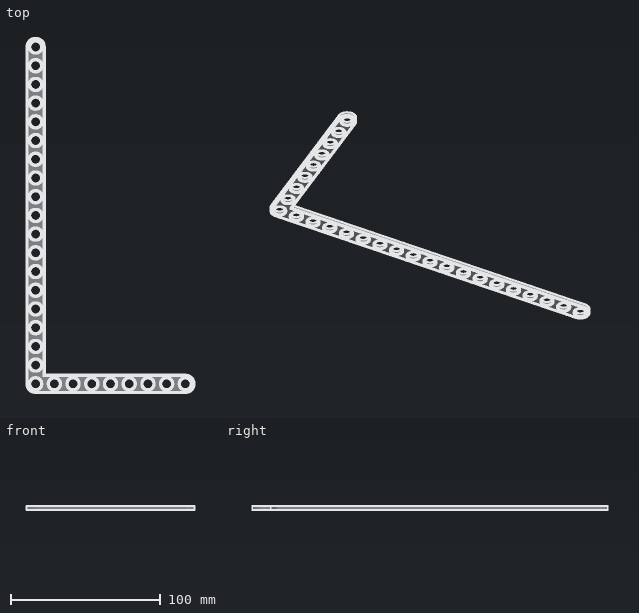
import cadquery as cq

pitch = 12.5
thickness = pitch / 4
x_arm_holes = 9
y_arm_holes = 19
hole_diameter = 7.0
bevel = 0.3
rim_width = 0.8
recess_depth = 0.2

half_width = pitch / 2
x_arm_span = (x_arm_holes - 1) * pitch
y_arm_span = (y_arm_holes - 1) * pitch
hole_radius = hole_diameter / 2
mouth_radius = hole_radius + bevel
ring_radius = mouth_radius + rim_width
recess_inset = bevel + rim_width


def angle_slab(inset, height):
    """L-shaped slab with its outline moved in by inset; the corner hole centre is the origin."""
    reach = half_width - inset
    corner_reach = reach * 0.5 ** 0.5
    return (
        cq.Workplane("XY")
        .moveTo(0, -reach)
        .lineTo(x_arm_span, -reach)
        .threePointArc((x_arm_span + reach, 0), (x_arm_span, reach))
        .lineTo(reach, reach)
        .lineTo(reach, y_arm_span)
        .threePointArc((0, y_arm_span + reach), (-reach, y_arm_span))
        .lineTo(-reach, 0)
        .threePointArc((-corner_reach, -corner_reach), (0, -reach))
        .close()
        .extrude(height)
    )


def hole_centres():
    """Centres along both arms, with the corner hole counted once."""
    along_x = [(i * pitch, 0) for i in range(x_arm_holes)]
    along_y = [(0, i * pitch) for i in range(1, y_arm_holes)]
    return along_x + along_y


def at_every_hole(shape):
    """Copies of one shape, placed on all the hole centres."""
    copies = [shape.translate(cq.Vector(x, y, 0)) for x, y in hole_centres()]
    return cq.Workplane(obj=cq.Compound.makeCompound(copies))


def bevelled_plate():
    """Full-size plate, chamfered around its top and bottom outlines."""
    return angle_slab(0, thickness).faces("<Z or >Z").edges().chamfer(bevel)


def recess():
    """Sunken field of one face: the inset outline minus the raised rings around the holes."""
    ring = cq.Solid.makeCylinder(ring_radius, recess_depth)
    return angle_slab(recess_inset, recess_depth).cut(at_every_hole(ring))


def hole_cutter():
    """Through hole with a chamfered mouth at both faces."""
    half_section = [
        (0, 0),
        (mouth_radius, 0),
        (hole_radius, bevel),
        (hole_radius, thickness - bevel),
        (mouth_radius, thickness),
        (0, thickness),
    ]
    section = cq.Workplane("XZ").polyline(half_section).close()
    return section.revolve(360, (0, 0, 0), (0, 1, 0)).val()


plate = bevelled_plate()
for recess_floor in (0, thickness - recess_depth):
    plate = plate.cut(recess().translate((0, 0, recess_floor)))
result = plate.cut(at_every_hole(hole_cutter()))